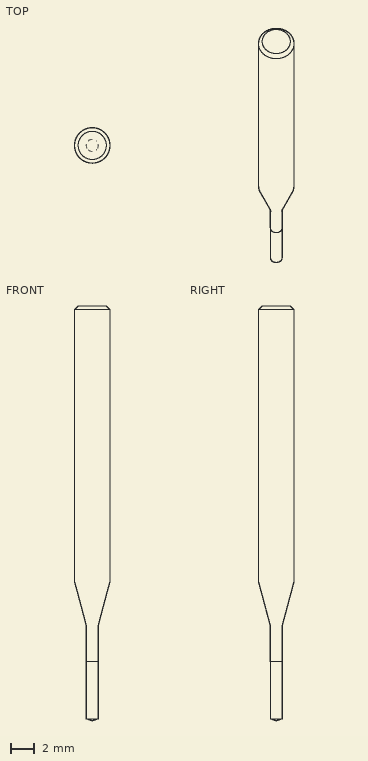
import cadquery as cq
import math

overall_length = 35.0
shank_diameter = 3.0
cutter_diameter = 1.0
cutter_length = 5.0
neck_top = 8.0
taper_half_angle = 15.0
point_angle = 140.0
end_chamfer = 0.3

shank_radius = shank_diameter / 2
cutter_radius = cutter_diameter / 2
point_height = cutter_radius / math.tan(math.radians(point_angle / 2))
taper_height = (shank_radius - cutter_radius) / math.tan(math.radians(taper_half_angle))
taper_top = neck_top + taper_height


def revolve_profile(points, seam_direction):
    """Revolve (radius, height) points about Z, with the seam on the given side."""
    normal = cq.Vector(*seam_direction).cross(cq.Vector(0, 0, 1))
    plane = cq.Plane(origin=(0, 0, 0), xDir=seam_direction, normal=normal)
    return cq.Workplane(plane).polyline(points).close().revolve(360, (0, 0), (0, 1))


def make_cutter():
    """Cylindrical cutting part with a conical point."""
    return revolve_profile(
        [
            (0, 0),
            (cutter_radius, point_height),
            (cutter_radius, cutter_length),
            (0, cutter_length),
        ],
        (-1, 0, 0),
    )


def make_shank():
    """Neck, taper and clamping shank with a chamfered end."""
    return revolve_profile(
        [
            (0, cutter_length),
            (cutter_radius, cutter_length),
            (cutter_radius, neck_top),
            (shank_radius, taper_top),
            (shank_radius, overall_length - end_chamfer),
            (shank_radius - end_chamfer, overall_length),
            (0, overall_length),
        ],
        (0, -1, 0),
    )


cutter = make_cutter()
shank = make_shank()

result = cq.Compound.makeCompound([cutter.val(), shank.val()])